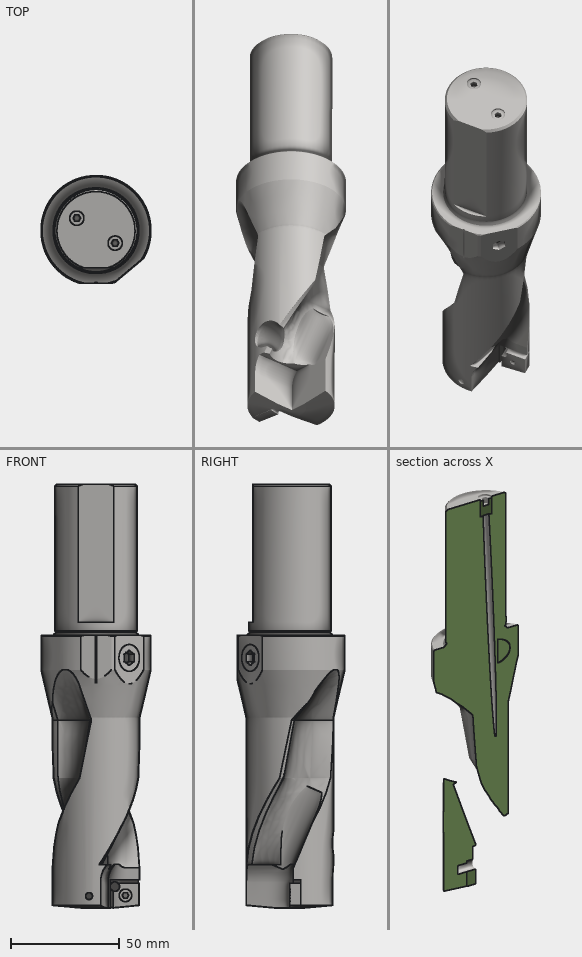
import cadquery as cq
import math

TOTAL_LENGTH = 195.74
COLLAR_TOP_Z = 126.0
COLLAR_BOTTOM_Z = 110.0
CONE_BOTTOM_Z = 88.0
RIM_Z = 1.2

SHANK_RADIUS = 19.05
SHANK_CHAMFER = 1.0
RELIEF_RADIUS = 18.5
RELIEF_HEIGHT = 2.0
RELIEF_FOOT_RADIUS = 19.8
SHANK_FLAT_OFFSET = 17.15
SHANK_FLAT_BOTTOM_Z = 132.0

COLLAR_RADIUS = 25.4
COLLAR_CHAMFER = 0.5
FRONT_FLAT_OFFSET = 24.4
PLUG_FLAT_ANGLE = -50.0
PLUG_FLAT_OFFSET = 23.87
MARK_WIDTH = 0.8
MARK_DEPTH = 0.4

BODY_RADIUS = 20.2
POINT_RADIUS = 7.0
FLUTE_BOTTOM_Z = 20.0
FLUTE_TOP_Z = 86.8
FLUTE_BEND_Z = 60.0
SLOW_TWIST = 16.0
FAST_TWIST = 1.8 * (FLUTE_BEND_Z - FLUTE_BOTTOM_Z)

FLUTE_ARC_RADIUS = 9.9
FLUTE_ARC_CENTER = (-12.7, -10.6)
FLUTE_ARC_SPAN = 120.0
FLUTE_LIP = (-20.0, -0.8)
FLUTE_HEEL = (-2.1, -20.1)
FLUTE_OVERREACH = 1.5
RUNOUT_SLOPE = (-0.3, -0.8)

SCOOP_RADIUS = 8.8
SCOOP_START = (-13.7, 7.6, 19.4)
SCOOP_SLOPE = (-0.04, -0.42)
SCOOP_TOP_Z = 56.0

BALL_RADIUS = 7.5
BALL_CENTER = (-2.5, 17.0, 30.0)

POCKET_FLOOR_Y = 1.6
POCKET_WALL_LEAN = 3.5
OUTER_POCKET_HEEL_X = 2.1
INNER_POCKET_HEEL_X = -4.4
POCKET_TOP_Z = 20.2
POCKET_TOP_RADIUS = 12.0
POCKET_ARC_START_Z = 12.2

INSERT_INNER_X = 8.0
INSERT_OUTER_X = 19.9
INSERT_TOP_Z = 11.5
INSERT_THICKNESS = 5.0
SEAT_GAP = 1.5
CORNER_RELIEF_RADIUS = 2.2
CORNER_RELIEF_CENTER = (8.7, 9.9)
INSERT_SCREW_CENTER = (13.6, 5.85)
INSERT_SCREW_HEAD_RADIUS = 2.9
INSERT_SCREW_HEAD_HEIGHT = 2.5
INSERT_SCREW_SHANK_RADIUS = 1.75
INSERT_SCREW_LENGTH = 12.0
INSERT_SCREW_SOCKET = 2.6
INSERT_SCREW_SOCKET_DEPTH = 1.5

TAPPED_HOLE_CENTER = (-3.2, 5.5)
TAPPED_HOLE_RADIUS = 1.6
TAPPED_HOLE_DEPTH = 8.0

COLLAR_PLUG_Z = 115.5
COLLAR_PLUG_RADIUS = 6.2
COLLAR_PLUG_LENGTH = 9.0
COLLAR_PLUG_SOCKET = 5.9
COLLAR_PLUG_SOCKET_DEPTH = 4.0
END_PLUG_CENTERS = [(-8.85, 5.75), (8.85, -5.75)]
END_PLUG_RADIUS = 3.3
END_PLUG_LENGTH = 8.0
END_PLUG_RECESS = 0.8
END_PLUG_SOCKET = 3.0
END_PLUG_SOCKET_DEPTH = 3.0

COOLANT_RADIUS = 1.7
COOLANT_EXIT = (-5.7, 12.6, 42.0)

CLEARANCE = 20.0


def turned_blank():
    """Shank, collar, cone and drill body in one revolved profile."""
    relief_top = COLLAR_TOP_Z + RELIEF_HEIGHT
    profile = [
        (0, 0),
        (POINT_RADIUS, 0),
        (BODY_RADIUS, RIM_Z),
        (BODY_RADIUS, CONE_BOTTOM_Z),
        (COLLAR_RADIUS, COLLAR_BOTTOM_Z),
        (COLLAR_RADIUS, COLLAR_TOP_Z - COLLAR_CHAMFER),
        (COLLAR_RADIUS - COLLAR_CHAMFER, COLLAR_TOP_Z),
        (RELIEF_FOOT_RADIUS, COLLAR_TOP_Z),
        (RELIEF_RADIUS, COLLAR_TOP_Z + RELIEF_FOOT_RADIUS - RELIEF_RADIUS),
        (RELIEF_RADIUS, relief_top - (SHANK_RADIUS - RELIEF_RADIUS)),
        (SHANK_RADIUS, relief_top),
        (SHANK_RADIUS, TOTAL_LENGTH - SHANK_CHAMFER),
        (SHANK_RADIUS - SHANK_CHAMFER, TOTAL_LENGTH),
        (0, TOTAL_LENGTH),
    ]
    return cq.Workplane("XZ").polyline(profile).close().revolve(360, (0, 0, 0), (0, 1, 0))


def flat_cutter(offset, bottom_z, top_z):
    """Block that leaves a flat facing -Y at the given distance from the axis."""
    return cq.Workplane("XY", origin=(0, -offset - CLEARANCE / 2, bottom_z)).box(
        2 * COLLAR_RADIUS, CLEARANCE, top_z - bottom_z, centered=(True, True, False)
    )


def cut_flats(part):
    shank_flat = flat_cutter(SHANK_FLAT_OFFSET, SHANK_FLAT_BOTTOM_Z, TOTAL_LENGTH)
    front_flat = flat_cutter(FRONT_FLAT_OFFSET, CONE_BOTTOM_Z, COLLAR_TOP_Z)
    plug_flat = flat_cutter(PLUG_FLAT_OFFSET, CONE_BOTTOM_Z, COLLAR_TOP_Z).rotate(
        (0, 0, 0), (0, 0, 1), PLUG_FLAT_ANGLE + 90
    )
    mark = flat_cutter(FRONT_FLAT_OFFSET - MARK_DEPTH, CONE_BOTTOM_Z, COLLAR_TOP_Z).intersect(
        cq.Workplane("XY").box(MARK_WIDTH, 4 * COLLAR_RADIUS, 2 * TOTAL_LENGTH)
    )
    return part.cut(shank_flat).cut(front_flat).cut(plug_flat).cut(mark)


def flute_section():
    """Closed flute outline at the start of the run-out, reaching past the body surface."""
    center_x, center_y = FLUTE_ARC_CENTER

    def on_arc(degrees):
        angle = math.radians(degrees)
        return (
            center_x + FLUTE_ARC_RADIUS * math.cos(angle),
            center_y + FLUTE_ARC_RADIUS * math.sin(angle),
        )

    lip_outside = (FLUTE_LIP[0] * FLUTE_OVERREACH, FLUTE_LIP[1])
    heel_outside = (FLUTE_HEEL[0], FLUTE_HEEL[1] * FLUTE_OVERREACH)
    return (
        cq.Workplane("XY")
        .moveTo(*heel_outside)
        .lineTo(*FLUTE_HEEL)
        .lineTo(*on_arc(0))
        .threePointArc(on_arc(FLUTE_ARC_SPAN / 2), on_arc(FLUTE_ARC_SPAN))
        .lineTo(*FLUTE_LIP)
        .lineTo(*lip_outside)
        .lineTo(lip_outside[0], heel_outside[1])
        .close()
    )


def flute_cutters():
    """The slow and the fast helical stretch and the sloping run-out through the cone."""
    slow_height = FLUTE_TOP_Z - FLUTE_BEND_Z
    fast_height = FLUTE_BEND_Z - FLUTE_BOTTOM_Z
    axis = ((0, 0, 0), (0, 0, 1))
    slow = (
        flute_section()
        .twistExtrude(slow_height, SLOW_TWIST)
        .rotate(*axis, -SLOW_TWIST)
        .translate((0, 0, FLUTE_BEND_Z))
    )
    fast = (
        flute_section()
        .twistExtrude(fast_height, FAST_TWIST)
        .rotate(*axis, -SLOW_TWIST - FAST_TWIST)
        .translate((0, 0, FLUTE_BOTTOM_Z))
    )
    runout_height = COLLAR_BOTTOM_Z - FLUTE_TOP_Z
    drift = cq.Vector(*RUNOUT_SLOPE, 1) * runout_height
    bottom = flute_section().wires().val().translate(cq.Vector(0, 0, FLUTE_TOP_Z))
    top = bottom.translate(drift)
    runout = cq.Workplane(cq.Solid.makeLoft([bottom, top], True))
    return [slow, fast, runout]


def scoop():
    """Slot with a round bottom, open toward -X, climbing along the flute."""
    direction = cq.Vector(*SCOOP_SLOPE, 1)
    length = direction.Length * (SCOOP_TOP_Z - SCOOP_START[2])
    inward = cq.Vector(1, 0, 0)
    across = direction.cross(inward)
    plane = cq.Plane(origin=SCOOP_START, xDir=across.cross(direction), normal=direction)
    return (
        cq.Workplane(plane)
        .moveTo(-CLEARANCE, -SCOOP_RADIUS)
        .lineTo(0, -SCOOP_RADIUS)
        .threePointArc((SCOOP_RADIUS, 0), (0, SCOOP_RADIUS))
        .lineTo(-CLEARANCE, SCOOP_RADIUS)
        .close()
        .extrude(length)
    )


def chip_pocket(heel_x):
    """Straight pocket in the +X, -Y quarter, with a rounded top along its slanted wall."""
    reach = BODY_RADIUS + CLEARANCE
    wall_slope = POCKET_WALL_LEAN / (BODY_RADIUS + POCKET_FLOOR_Y)
    rounded_top_z = POCKET_ARC_START_Z + POCKET_TOP_RADIUS
    block = (
        cq.Workplane("XY", origin=(0, 0, -CLEARANCE))
        .moveTo(reach, POCKET_FLOOR_Y)
        .lineTo(heel_x + POCKET_WALL_LEAN, POCKET_FLOOR_Y)
        .lineTo(heel_x - wall_slope * CLEARANCE, -reach)
        .lineTo(reach, -reach)
        .close()
        .extrude(CLEARANCE + rounded_top_z)
    )
    rounded_edge = cq.selectors.NearestToPointSelector((heel_x, -BODY_RADIUS, rounded_top_z))
    above = cq.Workplane("XY", origin=(0, 0, POCKET_TOP_Z)).circle(2 * reach).extrude(CLEARANCE)
    return block.edges(rounded_edge).fillet(POCKET_TOP_RADIUS).cut(above)


def half_turn(shape):
    return shape.rotate((0, 0, 0), (0, 0, 1), 180)


def facing_front(center, y):
    """Workplane at the given X, Z and Y whose extrusions run toward +Y."""
    x, z = center
    return cq.Workplane(cq.Plane(origin=(x, y, z), xDir=(1, 0, 0), normal=(0, 1, 0)))


def insert_outline(inner_x, outer_x, top_z, outer_z, inner_z, depth):
    """Block with a slightly sloping lower edge, running from Y = 0 toward +Y."""
    points = [(inner_x, inner_z), (outer_x, outer_z), (outer_x, top_z), (inner_x, top_z)]
    return cq.Workplane("XZ").polyline(points).close().extrude(-depth)


def insert_seat():
    return insert_outline(
        INSERT_INNER_X - SEAT_GAP,
        BODY_RADIUS + CLEARANCE,
        INSERT_TOP_Z + SEAT_GAP,
        -CLEARANCE,
        -CLEARANCE,
        INSERT_THICKNESS,
    )


def corner_relief():
    return facing_front(CORNER_RELIEF_CENTER, 0).circle(CORNER_RELIEF_RADIUS).extrude(2 * INSERT_THICKNESS)


def insert_screw_envelope():
    """Countersunk screw without its socket."""
    x, z = INSERT_SCREW_CENTER
    start = cq.Vector(x, 0, z)
    along = cq.Vector(0, 1, 0)
    head = cq.Solid.makeCone(
        INSERT_SCREW_HEAD_RADIUS, INSERT_SCREW_SHANK_RADIUS, INSERT_SCREW_HEAD_HEIGHT, start, along
    )
    shank = cq.Solid.makeCylinder(INSERT_SCREW_SHANK_RADIUS, INSERT_SCREW_LENGTH, start, along)
    return cq.Workplane(head).union(cq.Workplane(shank))


def hexagon(plane, across_flats, depth):
    return plane.polygon(6, across_flats / math.cos(math.pi / 6)).extrude(depth)


def make_insert_screw():
    socket = hexagon(facing_front(INSERT_SCREW_CENTER, 0), INSERT_SCREW_SOCKET, INSERT_SCREW_SOCKET_DEPTH)
    return insert_screw_envelope().cut(socket)


def make_insert():
    blank = insert_outline(INSERT_INNER_X, INSERT_OUTER_X, INSERT_TOP_Z, RIM_Z, 0, INSERT_THICKNESS)
    return blank.cut(corner_relief()).cut(insert_screw_envelope())


def collar_plug_plane():
    """Workplane on the plug flat; extrusions run toward the axis."""
    angle = math.radians(PLUG_FLAT_ANGLE)
    outward = cq.Vector(math.cos(angle), math.sin(angle), 0)
    origin = outward * PLUG_FLAT_OFFSET + cq.Vector(0, 0, COLLAR_PLUG_Z)
    return cq.Workplane(cq.Plane(origin=origin, xDir=(0, 0, 1), normal=-outward))


def collar_plug_envelope():
    return collar_plug_plane().circle(COLLAR_PLUG_RADIUS).extrude(COLLAR_PLUG_LENGTH)


def make_collar_plug():
    socket = hexagon(collar_plug_plane(), COLLAR_PLUG_SOCKET, COLLAR_PLUG_SOCKET_DEPTH)
    return collar_plug_envelope().cut(socket)


def end_plug_cylinder(center, top_z, radius, length):
    return cq.Workplane("XY", origin=(*center, top_z - length)).circle(radius).extrude(length)


def make_end_plug(center):
    top_z = TOTAL_LENGTH - END_PLUG_RECESS
    socket_plane = cq.Workplane("XY", origin=(*center, top_z))
    socket = hexagon(socket_plane, END_PLUG_SOCKET, -END_PLUG_SOCKET_DEPTH)
    return end_plug_cylinder(center, top_z, END_PLUG_RADIUS, END_PLUG_LENGTH).cut(socket)


def coolant_bore():
    """Bore from the floor of the first end-plug hole to the flute roof on the -X side."""
    start = cq.Vector(*END_PLUG_CENTERS[0], TOTAL_LENGTH - END_PLUG_RECESS - END_PLUG_LENGTH)
    run = cq.Vector(*COOLANT_EXIT) - start
    return cq.Workplane(cq.Solid.makeCylinder(COOLANT_RADIUS, run.Length, start, run))


def make_body():
    body = cut_flats(turned_blank())
    for cutter in [*flute_cutters(), scoop(), coolant_bore()]:
        body = body.cut(cutter).cut(half_turn(cutter))
    body = body.cut(chip_pocket(OUTER_POCKET_HEEL_X))
    body = body.cut(half_turn(chip_pocket(INNER_POCKET_HEEL_X)))
    body = body.cut(cq.Workplane("XY", origin=BALL_CENTER).sphere(BALL_RADIUS))
    body = body.cut(insert_seat()).cut(corner_relief()).cut(insert_screw_envelope())
    tapped_hole = (
        facing_front(TAPPED_HOLE_CENTER, -BODY_RADIUS).circle(TAPPED_HOLE_RADIUS).extrude(TAPPED_HOLE_DEPTH)
    )
    body = body.cut(tapped_hole).cut(collar_plug_envelope())
    for center in END_PLUG_CENTERS:
        hole_depth = END_PLUG_LENGTH + END_PLUG_RECESS
        body = body.cut(end_plug_cylinder(center, TOTAL_LENGTH, END_PLUG_RADIUS, hole_depth))
    return body


body = make_body()
insert = make_insert()
insert_screw = make_insert_screw()
collar_plug = make_collar_plug()
end_plugs = [make_end_plug(center) for center in END_PLUG_CENTERS]

result = cq.Compound.makeCompound(
    [
        body.val(),
        insert.val(),
        insert_screw.val(),
        collar_plug.val(),
        *[plug.val() for plug in end_plugs],
    ]
)